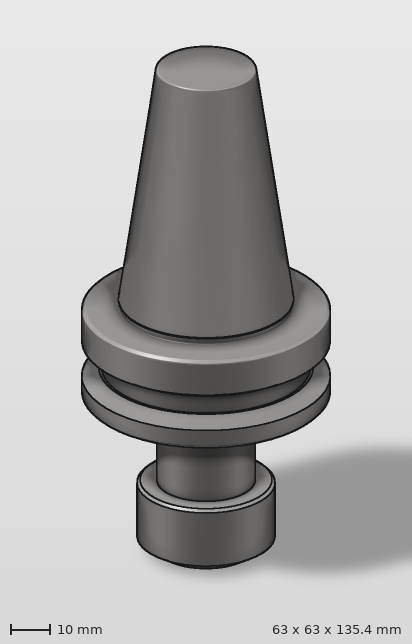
import cadquery as cq
import math


taper_length = 65.4
gauge_radius = 44.45 / 2
taper_ratio = 7 / 24
taper_end_fillet = 1.0
taper_end_radius = gauge_radius - taper_length * taper_ratio / 2

neck_radius = 22.0
neck_chamfer_height = 0.4
neck_root_fillet = 0.4

flange_radius = 63.0 / 2
flange_top = -2.0
flange_bottom = -27.0
flange_chamfer = 0.9
flange_chamfer_blend = 0.5
groove_middle = -16.6
groove_mouth_width = 10.0
groove_angle = 30.0
groove_step_radius = 27.2
groove_floor_radius = 26.5
groove_side_height = (flange_radius - groove_step_radius) * math.tan(math.radians(groove_angle))
groove_mouth_top = groove_middle + groove_mouth_width / 2
groove_mouth_bottom = groove_middle - groove_mouth_width / 2
groove_step_top = groove_mouth_top - groove_side_height
groove_step_bottom = groove_mouth_bottom + groove_side_height

shank_radius = 12.5
relief_depth = 0.2
relief_root_fillet = 1.0
relief_bottom = -31.3
relief_step_height = 0.3

nut_radius = 17.5
nut_top = -51.0
nut_bottom = -70.0
nut_top_chamfer = 0.8
nut_nose_radius = 12.5
nut_nose_height = 3.2


def revolved(profile):
    """Turn a half profile, drawn as radius and height, around the Z axis."""
    return profile.close().revolve(360, (0, 0, 0), (0, 1, 0))


def make_taper_and_neck():
    taper_and_neck = revolved(
        cq.Workplane("XZ")
        .moveTo(0, taper_length)
        .lineTo(taper_end_radius, taper_length)
        .lineTo(gauge_radius, 0)
        .lineTo(neck_radius, -neck_chamfer_height)
        .lineTo(neck_radius, flange_top + neck_root_fillet)
        .radiusArc((neck_radius + neck_root_fillet, flange_top), -neck_root_fillet)
        .lineTo(0, flange_top)
    )
    return taper_and_neck.faces(">Z").edges().fillet(taper_end_fillet)


def make_flange():
    face_radius = flange_radius - flange_chamfer
    flange = revolved(
        cq.Workplane("XZ")
        .moveTo(0, flange_top)
        .lineTo(face_radius, flange_top)
        .lineTo(flange_radius, flange_top - flange_chamfer)
        .lineTo(flange_radius, groove_mouth_top)
        .lineTo(groove_step_radius, groove_step_top)
        .lineTo(groove_floor_radius, groove_step_top)
        .lineTo(groove_floor_radius, groove_step_bottom)
        .lineTo(groove_step_radius, groove_step_bottom)
        .lineTo(flange_radius, groove_mouth_bottom)
        .lineTo(flange_radius, flange_bottom + flange_chamfer)
        .lineTo(face_radius, flange_bottom)
        .lineTo(0, flange_bottom)
    )
    face_edges = flange.faces(">Z or <Z").edges()
    rim_edges = flange.edges(cq.selectors.RadiusNthSelector(-1)).edges(">Z or <Z")
    return face_edges.add(rim_edges).fillet(flange_chamfer_blend)


def make_shank():
    relief_radius = shank_radius - relief_depth
    return revolved(
        cq.Workplane("XZ")
        .moveTo(0, flange_bottom)
        .lineTo(relief_radius + relief_root_fillet, flange_bottom)
        .radiusArc((relief_radius, flange_bottom - relief_root_fillet), -relief_root_fillet)
        .lineTo(relief_radius, relief_bottom + relief_step_height)
        .lineTo(shank_radius, relief_bottom)
        .lineTo(shank_radius, nut_top)
        .lineTo(0, nut_top)
    )


def make_nut():
    return revolved(
        cq.Workplane("XZ")
        .moveTo(0, nut_top)
        .lineTo(nut_radius - nut_top_chamfer, nut_top)
        .lineTo(nut_radius, nut_top - nut_top_chamfer)
        .lineTo(nut_radius, nut_bottom + nut_nose_height)
        .lineTo(nut_nose_radius, nut_bottom)
        .lineTo(0, nut_bottom)
    )


result = make_taper_and_neck().union(make_flange()).union(make_shank()).union(make_nut())